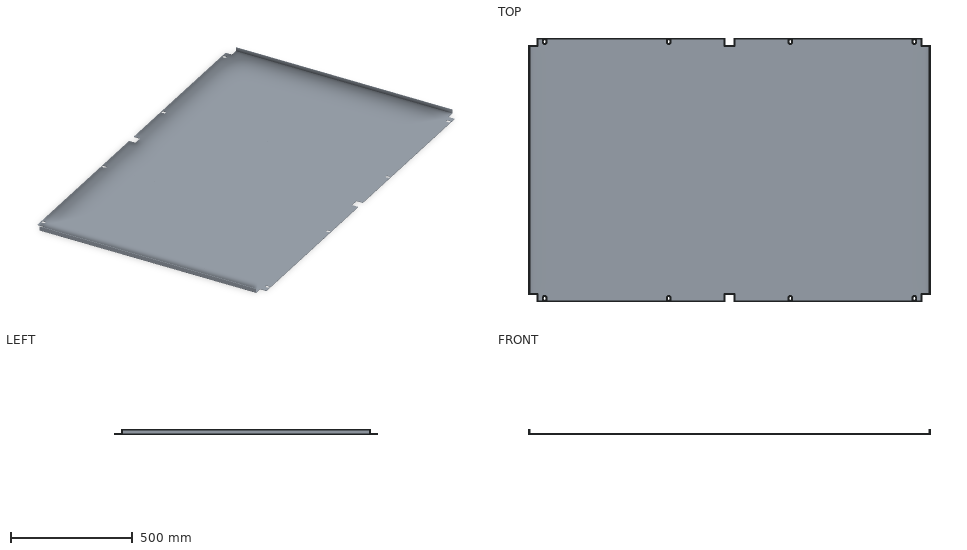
import cadquery as cq

length = 1650.0
width = 1080.0
height = 20.0

sheet = 2.5
inner_bend_radius = 0.1

edge_cut_depth = 30.0
corner_cut_length = 35.0
centre_notch_length = 40.0

slot_length = 20.0
slot_width = 14.0
slot_edge_distance = 12.0
inner_slot_x = 250.0
outer_slot_x = 760.0

flange_width = width - 2 * edge_cut_depth


def make_long_panel():
    """Flat sheet between the corner cut-outs, running the full width."""
    panel_length = length - 2 * corner_cut_length
    return cq.Workplane("XY").box(panel_length, width, sheet, centered=(True, True, False))


def make_channel():
    """Flat sheet with an upright lip bent up along each short edge."""
    outer_bend_radius = inner_bend_radius + sheet
    inner_length = length - 2 * sheet
    outside = (
        cq.Workplane("XY")
        .box(length, flange_width, height, centered=(True, True, False))
        .edges("|Y and <Z")
        .fillet(outer_bend_radius)
    )
    inside = (
        cq.Workplane("XY")
        .box(inner_length, flange_width, height - sheet, centered=(True, True, False))
        .edges("|Y and <Z")
        .fillet(inner_bend_radius)
        .translate((0, 0, sheet))
    )
    return outside.cut(inside)


def cut_centre_notches(body):
    """Open a rectangular notch in the middle of each long edge."""
    notch_y = (width - edge_cut_depth) / 2
    notches = (
        cq.Workplane("XY")
        .pushPoints([(0, -notch_y), (0, notch_y)])
        .rect(centre_notch_length, edge_cut_depth)
        .extrude(sheet)
    )
    return body.cut(notches)


def cut_fixing_slots(body):
    """Cut four round-ended slots through the sheet along each long edge."""
    slot_y = width / 2 - slot_edge_distance
    slot_positions = [
        (x, y)
        for x in (-outer_slot_x, -inner_slot_x, inner_slot_x, outer_slot_x)
        for y in (-slot_y, slot_y)
    ]
    slots = (
        cq.Workplane("XY")
        .pushPoints(slot_positions)
        .slot2D(slot_length, slot_width, angle=90)
        .extrude(sheet)
    )
    return body.cut(slots)


tray = make_channel().union(make_long_panel())
tray = cut_centre_notches(tray)
result = cut_fixing_slots(tray)